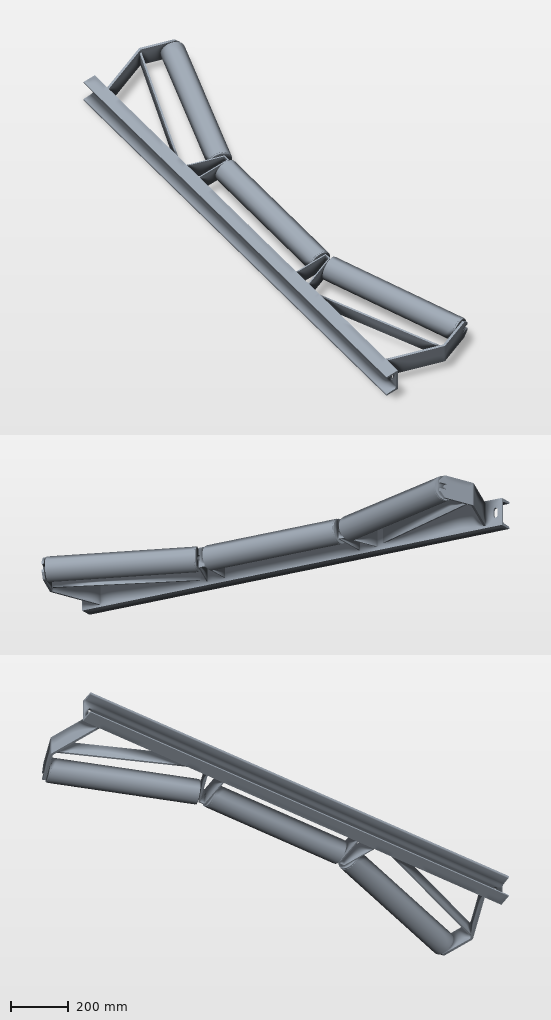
import cadquery as cq
import math

channel_length = 1700.0
channel_height = 100.0
channel_depth = 50.0
web_thickness = 7.7
flange_root_thickness = 10.0
flange_toe_thickness = 7.7
flange_root_radius = 9.0
flange_toe_radius = 4.3
mount_slot_spacing = 1649.0
mount_slot_length = 36.0
mount_slot_width = 15.0

roller_radius = 45.0
roller_length = 531.0
roller_cap_length = 5.0
roller_cap_step = 0.9
shaft_radius = 10.0
roller_plate_gap = 5.0
roller_tilt = 20.0
middle_axis_height = 117.0
side_roller_x = 555.0
side_roller_height = 216.0

outer_plate_width = 82.0
inner_plate_width = 72.0
inner_plate_thickness = 4.3
inner_bridge_height = 137.0
outer_plate_thickness = 9.0
outer_plate_length_past_axis = 30.0
outer_plate_corner = 20.0
outer_bend_x = 857.0
outer_bend_radius = 14.0
outer_leg_tilt = 20.0
brace_width = 53.0
brace_thickness = 7.0
brace_foot_x = 368.0
brace_top_height = 205.0

plate_offset = roller_length / 2 + roller_plate_gap
tilt = math.radians(roller_tilt)
leg_tilt = math.radians(outer_leg_tilt)


def extrude_outline(points, width):
    """Extrude a closed XY outline, centred on Z = 0."""
    return cq.Workplane("XY").polyline(points).close().extrude(width / 2, both=True)


def extrude_round(radius, x_start, length):
    """Cylinder along X from x_start."""
    return cq.Workplane("YZ", origin=(x_start, 0, 0)).circle(radius).extrude(length)


def to_side(body):
    """Move a body from the middle roller's frame to the left roller's place."""
    tilted = body.rotate((0, 0, 0), (0, 0, 1), -roller_tilt)
    return tilted.translate((-side_roller_x, side_roller_height, 0))


def side_point(along, across):
    """XY place of a point given along and across the left roller's axis."""
    x = -side_roller_x + along * math.cos(tilt) + across * math.sin(tilt)
    y = side_roller_height - along * math.sin(tilt) + across * math.cos(tilt)
    return (x, y)


def side_face_x(along, y):
    """X where the plane square to the left roller's axis reaches height y."""
    face_x, face_y = side_point(along, 0)
    return face_x + (y - face_y) * math.tan(tilt)


def make_channel():
    half = channel_height / 2
    outline = [
        (0, -half), (0, half), (-channel_depth, half),
        (-channel_depth, half - flange_toe_thickness),
        (-web_thickness, half - flange_root_thickness),
        (-web_thickness, flange_root_thickness - half),
        (-channel_depth, flange_toe_thickness - half),
        (-channel_depth, -half),
    ]
    body = cq.Workplane("YZ").polyline(outline).close().extrude(channel_length / 2, both=True)
    inner_z = half - flange_root_thickness
    toe_z = half - flange_toe_thickness
    for z in (-inner_z, inner_z):
        root = cq.selectors.NearestToPointSelector((0, -web_thickness, z))
        body = body.edges(root).fillet(flange_root_radius)
    for z in (-toe_z, toe_z):
        toe = cq.selectors.NearestToPointSelector((0, -channel_depth, z))
        body = body.edges(toe).fillet(flange_toe_radius)
    slots = (
        cq.Workplane("XZ")
        .pushPoints([(-mount_slot_spacing / 2, 0), (mount_slot_spacing / 2, 0)])
        .slot2D(mount_slot_length, mount_slot_width, 90)
        .extrude(channel_depth)
    )
    return body.cut(slots)


def make_roller(left_plate, right_plate):
    """Roller along X; its shaft ends flush with plates of the given thicknesses."""
    shaft_start = -plate_offset - left_plate
    shaft_length = 2 * plate_offset + left_plate + right_plate
    drum_length = roller_length - 2 * roller_cap_length
    caps = extrude_round(roller_radius - roller_cap_step, -roller_length / 2, roller_length)
    drum = extrude_round(roller_radius, -drum_length / 2, drum_length)
    shaft = extrude_round(shaft_radius, shaft_start, shaft_length)
    return drum.union(caps).union(shaft)


def make_shaft_slot(x_start, x_end):
    """Cutter for a slot with a round bottom on the roller axis, open toward +Y."""
    slot_top = 2 * roller_radius
    return (
        cq.Workplane("YZ", origin=(x_start, 0, 0))
        .moveTo(slot_top, -shaft_radius)
        .lineTo(0, -shaft_radius)
        .threePointArc((-shaft_radius, 0), (0, shaft_radius))
        .lineTo(slot_top, shaft_radius)
        .close()
        .extrude(x_end - x_start)
    )


def make_inner_bracket():
    """Left inner bracket: upright leg, bridge and leg square to the left roller."""
    t = inner_plate_thickness
    under = inner_bridge_height - t
    near, far = plate_offset, plate_offset + t
    outline = [
        (-near, 0), (-near, inner_bridge_height),
        (side_face_x(near, inner_bridge_height), inner_bridge_height),
        (side_face_x(near, 0), 0), (side_face_x(far, 0), 0),
        (side_face_x(far, under), under), (-far, under), (-far, 0),
    ]
    bracket = extrude_outline(outline, inner_plate_width)
    middle_slot = make_shaft_slot(-far, -near).translate((0, middle_axis_height, 0))
    return bracket.cut(middle_slot).cut(to_side(make_shaft_slot(near, far)))


def make_outer_bracket():
    """Left outer bracket: leaning leg bent into the plate that holds the shaft end."""
    t = outer_plate_thickness
    near, far = plate_offset, plate_offset + t
    corner_x = -outer_bend_x - outer_bend_radius * (1 / math.cos(tilt) - 1)
    far_x, far_y = side_point(-far, 0)
    corner_y = far_y + (corner_x - far_x) / math.tan(tilt)
    inner_corner_x = corner_x + t / math.cos(tilt)
    foot_x = corner_x + corner_y * math.tan(leg_tilt)
    outline = [
        (foot_x, 0), (corner_x, corner_y),
        side_point(-far, outer_plate_length_past_axis),
        side_point(-near, outer_plate_length_past_axis),
        (inner_corner_x, corner_y), (foot_x + t / math.cos(leg_tilt), 0),
    ]
    bracket = extrude_outline(outline, outer_plate_width)
    outer_bend = cq.selectors.NearestToPointSelector((corner_x, corner_y, 0))
    inner_bend = cq.selectors.NearestToPointSelector((inner_corner_x, corner_y, 0))
    bracket = bracket.edges(outer_bend).fillet(outer_bend_radius)
    bracket = bracket.edges(inner_bend).fillet(outer_bend_radius - t)
    tip_y, half = outer_plate_length_past_axis, outer_plate_width / 2
    for side in (-1, 1):
        corner = (
            cq.Workplane("YZ", origin=(-far, 0, 0))
            .polyline([
                (tip_y, side * half),
                (tip_y - outer_plate_corner, side * half),
                (tip_y, side * (half - outer_plate_corner)),
            ])
            .close()
            .extrude(t)
        )
        bracket = bracket.cut(to_side(corner))
    return bracket.cut(to_side(make_shaft_slot(-far, -near)))


def make_brace(bracket):
    """Left brace: flat bar from the channel to the bend, trimmed by the bracket."""
    start_x = -outer_bend_x + outer_plate_thickness / 2
    slope = brace_top_height / (-brace_foot_x - start_x)
    drop = brace_thickness * math.hypot(1, slope)
    outline = [
        (start_x, brace_top_height), (-brace_foot_x, 0),
        (-brace_foot_x - drop / slope, 0), (start_x, brace_top_height - drop),
    ]
    return extrude_outline(outline, brace_width).cut(bracket)


channel = make_channel()
middle_roller = make_roller(inner_plate_thickness, inner_plate_thickness)
middle_roller = middle_roller.translate((0, middle_axis_height, 0))
side_roller = to_side(make_roller(outer_plate_thickness, inner_plate_thickness))
inner_bracket = make_inner_bracket()
outer_bracket = make_outer_bracket()
brace = make_brace(outer_bracket)

bodies = [channel.solids().val(), middle_roller.solids().val()]
for left_body in (side_roller, inner_bracket, outer_bracket, brace):
    bodies.append(left_body.solids().val())
    bodies.append(left_body.mirror("YZ").solids().val())

result = cq.Compound.makeCompound(bodies)